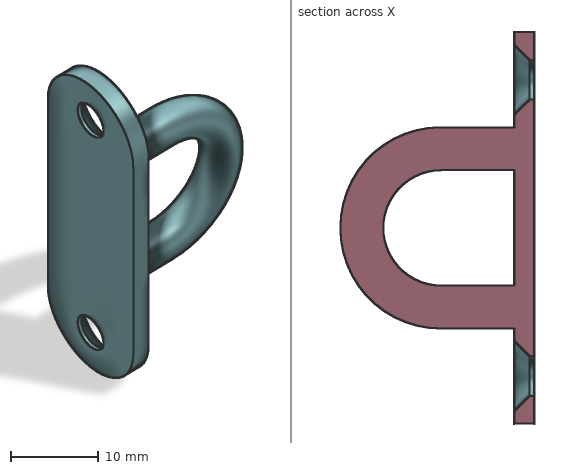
import cadquery as cq
import math

plate_height = 45.0
plate_width = 15.0
plate_thickness = 2.35

hole_diameter = 4.5
hole_spacing = 34.0
hole_land_depth = 0.55
countersink_angle = 90.0

total_depth = 22.3
bar_diameter = 5.0
leg_spacing = 18.2

countersink_depth = plate_thickness - hole_land_depth
countersink_growth = countersink_depth * math.tan(math.radians(countersink_angle / 2))
countersink_diameter = hole_diameter + 2 * countersink_growth

bar_radius = bar_diameter / 2
bend_radius = leg_spacing / 2
leg_length = total_depth - plate_thickness - bend_radius - bar_radius

bend_start_y = plate_thickness + leg_length


def make_plate():
    """Round-ended plate with two countersunk through holes."""
    outline = cq.Workplane("XZ").slot2D(plate_height, plate_width, 90)
    plate = outline.extrude(-plate_thickness)
    return (
        plate.faces(">Y")
        .workplane(centerOption="CenterOfBoundBox")
        .rarray(0.45, hole_spacing, 1, 2)
        .cskHole(hole_diameter, countersink_diameter, countersink_angle)
    )


def make_loop():
    """U-shaped round bar swept from one leg to the other."""
    path = (
        cq.Workplane("YZ")
        .moveTo(plate_thickness, -bend_radius)
        .lineTo(bend_start_y, -bend_radius)
        .threePointArc((bend_start_y + bend_radius, 0), (bend_start_y, bend_radius))
        .lineTo(plate_thickness, bend_radius)
    )
    section = cq.Workplane("XZ", origin=(0, plate_thickness, -bend_radius)).circle(bar_radius)
    return section.sweep(path)


result = make_plate().union(make_loop())